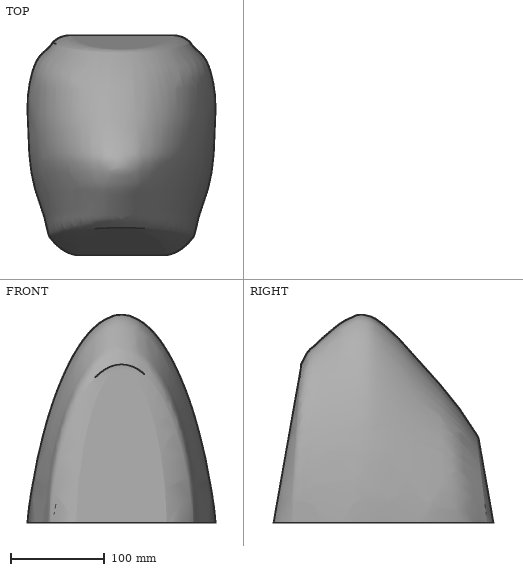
import cadquery as cq
import math

JOIN_TOLERANCE = 0.1

LENGTH = 236.5
PEAK_HEIGHT = 224.0
MAX_HALF_WIDTH = 101.13

END_LEAN_DEG = 10.0
FRONT_FLAT_HALF_WIDTH = 48.7
FRONT_FLAT_HEIGHT = 164.5
REAR_FLAT_HALF_WIDTH = 54.5
REAR_FLAT_HEIGHT = 86.3

END_FULLNESS = 1.75
SHOULDER_FULLNESS = 1.65
MIDDLE_FULLNESS = 1.5
POINTS_PER_SIDE = 10

FRONT_SHOULDER = (-100.3, 76.0, -88.7, 170.3, END_FULLNESS)
REAR_SHOULDER = (111.2, 73.3, 99.8, 95.3, END_FULLNESS)
BODY_STATIONS = [
    FRONT_SHOULDER,
    (-78.0, 82.8, -68.5, 196.0, SHOULDER_FULLNESS),
    (-52.0, 91.5, -43.8, 216.5, MIDDLE_FULLNESS),
    (-26.0, 97.5, -24.1, PEAK_HEIGHT, MIDDLE_FULLNESS),
    (0.0, 99.8, -4.7, 217.2, MIDDLE_FULLNESS),
    (33.0, MAX_HALF_WIDTH, 30.8, 182.4, MIDDLE_FULLNESS),
    (71.0, 98.0, 66.2, 142.5, SHOULDER_FULLNESS),
    (97.0, 86.8, 87.5, 114.3, SHOULDER_FULLNESS),
    REAR_SHOULDER,
]

FRONT_BORDER_BASE_Y = -111.7
FRONT_BORDER_HALF_WIDTH = 64.3
FRONT_BORDER_HEIGHT = 168.0
REAR_BORDER_BASE_Y = 116.5
REAR_BORDER_HALF_WIDTH = 65.0
REAR_BORDER_HEIGHT = 91.3


def end_face_y(height, side):
    """Y of a leaning end face at a height; side is -1 at the front, +1 at the rear."""
    return side * (LENGTH / 2 - height * math.tan(math.radians(END_LEAN_DEG)))


def arch(base_y, half_width, apex_y, apex_height, fullness):
    """Closed planar arch, leaning from its base line to its apex."""
    points = []
    for i in range(-POINTS_PER_SIDE, POINTS_PER_SIDE + 1):
        across = math.sin(math.pi / 2 * i / POINTS_PER_SIDE)
        rise = max(0.0, 1 - across ** 2) ** (1 / fullness)
        y = base_y + (apex_y - base_y) * rise
        points.append(cq.Vector(half_width * across, y, apex_height * rise))
    curve = cq.Edge.makeSpline(points)
    base = cq.Edge.makeLine(points[-1], points[0])
    return cq.Wire.assembleEdges([curve, base])


def loft(stations):
    return cq.Solid.makeLoft([arch(*station) for station in stations])


def end_border(shoulder, border, flat, side):
    """Rounded border from a shoulder arch to the flat end face."""
    border_y, border_half_width, border_height = border
    flat_half_width, flat_height = flat
    return loft([
        shoulder,
        (border_y, border_half_width, end_face_y(border_height, side), border_height, END_FULLNESS),
        (end_face_y(0, side), flat_half_width, end_face_y(flat_height, side), flat_height, END_FULLNESS),
    ])


body = loft(BODY_STATIONS)
front_border = end_border(
    FRONT_SHOULDER,
    (FRONT_BORDER_BASE_Y, FRONT_BORDER_HALF_WIDTH, FRONT_BORDER_HEIGHT),
    (FRONT_FLAT_HALF_WIDTH, FRONT_FLAT_HEIGHT),
    -1,
)
rear_border = end_border(
    REAR_SHOULDER,
    (REAR_BORDER_BASE_Y, REAR_BORDER_HALF_WIDTH, REAR_BORDER_HEIGHT),
    (REAR_FLAT_HALF_WIDTH, REAR_FLAT_HEIGHT),
    1,
)

joined = cq.Workplane("XY").add(body)
for border in (front_border, rear_border):
    joined = joined.union(border, tol=JOIN_TOLERANCE)

result = joined.solids()